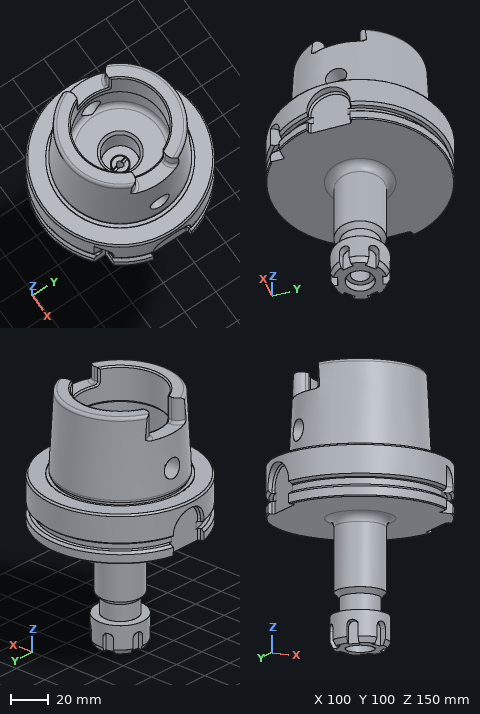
import cadquery as cq
import math

total_height = 150.0
flange_top = 100.0
flange_bottom = 71.0
stem_bottom = 30.5
nut_top = 17.5

shank_base_radius = 37.8
shank_tip_radius = 35.4
shank_base_band = 1.2
undercut_radius = 36.9
tip_round = 2.0
relief_radius = 39.5
relief_depth = 0.6

drive_slot_half_width = 10.2
drive_slot_flare = 5.0
drive_slot_face = 32.2
deep_slot_floor = 135.0
shallow_slot_floor = 140.0
slot_floor_round = 1.8

cavity_radius = 26.4
undercut_cavity_radius = 27.8
undercut_cavity_top = 129.6
cavity_floor = 108.8
cavity_floor_round = 3.0
mouth_chamfer = 0.9
port_radius = 12.2
port_chamfer = 1.6
port_depth = 18.0
cross_hole_radius = 6.0
cross_hole_height = 115.0

flange_radius = 50.02
flange_edge = 1.0
flange_lower_edge = 0.6
groove_radius = 46.0
groove_lip_radius = 48.3
groove_middle = 80.0
groove_half_height = 2.1
groove_lip_height = 1.4

keyway_half_width = 12.2
keyway_arch_height = 83.8
keyway_floor = 45.0
keyway_floor_chamfer = 1.0
notch_floor = 31.5
notch_wall = 31.2
notch_radius = 9.5
notch_arch_height = 85.5

stem_radius = 14.0
stem_fillet = 5.0
neck_radius = 11.1

nut_radius = 16.0
nut_chamfer_height = 3.2
nut_chamfer_width = 1.6
nut_lip = 4.5
nut_opening_radius = 8.0
wrench_slots = 6
wrench_slot_angle = 48.0
wrench_slot_width = 6.2
wrench_slot_top = 12.3
wrench_slot_floor = 12.0

screw_radius = 5.2
screw_length = 18.0
screw_chamfer = 0.6
screw_bore_radius = 2.0
screw_slot_width = 1.8
screw_slot_depth = 1.8
screw_slot_turn = 13.0

port_floor = cavity_floor - port_depth
selection_margin = 0.2


def cylinder(radius, bottom, top):
    return cq.Workplane("XY").workplane(offset=bottom).circle(radius).extrude(top - bottom)


def revolved(points):
    """Turn an (r, z) outline about the Z axis."""
    return cq.Workplane("XZ").polyline(points).close().revolve(360, (0, 0), (0, 1))


def holder_body():
    """Outer turned shape: neck, stem, grooved flange and shank."""
    lip_bottom = groove_middle - groove_half_height
    lip_top = groove_middle + groove_half_height
    chamfer_height = stem_radius - neck_radius
    body = (
        cq.Workplane("XZ")
        .moveTo(0, nut_lip)
        .lineTo(neck_radius, nut_lip)
        .lineTo(neck_radius, stem_bottom - chamfer_height)
        .lineTo(stem_radius, stem_bottom)
        .lineTo(stem_radius, flange_bottom - stem_fillet)
        .radiusArc((stem_radius + stem_fillet, flange_bottom), stem_fillet)
        .lineTo(flange_radius - flange_lower_edge, flange_bottom)
        .lineTo(flange_radius, flange_bottom + flange_lower_edge)
        .lineTo(flange_radius, lip_bottom - groove_lip_height)
        .lineTo(groove_lip_radius, lip_bottom)
        .lineTo(groove_radius, lip_bottom)
        .lineTo(groove_radius, lip_top)
        .lineTo(groove_lip_radius, lip_top)
        .lineTo(flange_radius, lip_top + groove_lip_height)
        .lineTo(flange_radius, flange_top - flange_edge)
        .lineTo(flange_radius - flange_edge, flange_top)
        .lineTo(relief_radius, flange_top)
        .lineTo(relief_radius, flange_top - relief_depth)
        .lineTo(undercut_radius, flange_top - relief_depth)
        .lineTo(undercut_radius, flange_top + shank_base_band)
        .lineTo(shank_base_radius, flange_top + shank_base_band)
        .lineTo(shank_base_radius, flange_top + 2 * shank_base_band)
        .lineTo(shank_tip_radius, total_height)
        .lineTo(0, total_height)
        .close()
        .revolve(360, (0, 0), (0, 1))
    )
    return body.faces(">Z").edges().fillet(tip_round)


def holder_bore():
    """Shank cavity, coolant port and the bore for the stop screw."""
    port_inner = port_radius - port_chamfer
    shoulder = undercut_cavity_radius - cavity_radius
    round_top = cavity_floor + cavity_floor_round
    return (
        cq.Workplane("XZ")
        .moveTo(0, nut_lip)
        .lineTo(screw_radius, nut_lip)
        .lineTo(screw_radius, port_floor)
        .lineTo(port_inner, port_floor)
        .lineTo(port_inner, cavity_floor - port_chamfer)
        .lineTo(port_radius, cavity_floor)
        .lineTo(undercut_cavity_radius - cavity_floor_round, cavity_floor)
        .radiusArc((undercut_cavity_radius, round_top), -cavity_floor_round)
        .lineTo(undercut_cavity_radius, undercut_cavity_top - shoulder)
        .lineTo(cavity_radius, undercut_cavity_top)
        .lineTo(cavity_radius, total_height)
        .lineTo(0, total_height)
        .close()
        .revolve(360, (0, 0), (0, 1))
    )


def drive_slot(side, floor):
    """Slot through one side of the shank tip, flared outward and rounded at its floor."""
    flare_start = drive_slot_face - drive_slot_flare
    flare_end = drive_slot_half_width + drive_slot_flare
    far = shank_base_radius + drive_slot_flare
    bend = drive_slot_flare * math.sqrt(0.5)
    bend_x = side * (flare_start + bend)
    bend_y = flare_end - bend
    cutter = (
        cq.Workplane("XY")
        .workplane(offset=floor)
        .moveTo(0, -drive_slot_half_width)
        .lineTo(side * flare_start, -drive_slot_half_width)
        .threePointArc((bend_x, -bend_y), (side * drive_slot_face, -flare_end))
        .lineTo(side * drive_slot_face, -far)
        .lineTo(side * far, -far)
        .lineTo(side * far, far)
        .lineTo(side * drive_slot_face, far)
        .lineTo(side * drive_slot_face, flare_end)
        .threePointArc((bend_x, bend_y), (side * flare_start, drive_slot_half_width))
        .lineTo(0, drive_slot_half_width)
        .close()
        .extrude(total_height - floor)
    )
    return cutter.faces("<Z").edges().fillet(slot_floor_round)


def keyway(side):
    """Arch-topped keyway in the flange rim with a chamfer around its flat floor."""
    arch_top = keyway_arch_height + keyway_half_width
    cutter = (
        cq.Workplane("YZ")
        .workplane(offset=keyway_floor)
        .moveTo(-keyway_half_width, flange_bottom)
        .lineTo(-keyway_half_width, keyway_arch_height)
        .threePointArc((0, arch_top), (keyway_half_width, keyway_arch_height))
        .lineTo(keyway_half_width, flange_bottom)
        .close()
        .extrude(flange_radius - keyway_floor)
    )
    cutter = cutter.faces("<X").edges("not <Z").chamfer(keyway_floor_chamfer)
    return cutter if side > 0 else cutter.mirror("YZ")


def side_notch():
    """Round-topped notch in the -Y, +X part of the flange rim."""
    arch_y = -notch_wall - notch_radius
    arch_top = notch_arch_height + notch_radius
    return (
        cq.Workplane("YZ")
        .workplane(offset=notch_floor)
        .moveTo(-notch_wall, flange_bottom)
        .lineTo(-notch_wall, notch_arch_height)
        .threePointArc((arch_y, arch_top), (arch_y - notch_radius, notch_arch_height))
        .lineTo(arch_y - notch_radius, flange_bottom)
        .close()
        .extrude(flange_radius - notch_floor)
    )


def make_holder():
    """Holder with its cavity, drive slots, cross hole, keyways and notch."""
    cross_hole = (
        cq.Workplane("YZ")
        .center(0, cross_hole_height)
        .circle(cross_hole_radius)
        .extrude(shank_base_radius, both=True)
    )
    shank = (
        holder_body()
        .cut(holder_bore())
        .cut(drive_slot(-1, deep_slot_floor))
        .cut(drive_slot(1, shallow_slot_floor))
    )
    reach = cavity_radius + selection_margin
    mouth = cq.selectors.BoxSelector(
        (-reach, -reach, deep_slot_floor - selection_margin),
        (reach, reach, total_height + selection_margin),
        boundingbox=True,
    )
    shank = shank.edges(mouth).chamfer(mouth_chamfer)
    return (
        shank
        .cut(cross_hole)
        .cut(keyway(-1))
        .cut(keyway(1))
        .cut(side_notch())
    )


def make_nut():
    """Clamping nut around the neck, with wrench slots open at its lower face."""
    nut = revolved([
        (nut_opening_radius, 0),
        (nut_radius - nut_chamfer_width, 0),
        (nut_radius, nut_chamfer_height),
        (nut_radius, nut_top),
        (neck_radius, nut_top),
        (neck_radius, nut_lip),
        (nut_opening_radius, nut_lip),
    ])
    half_width = wrench_slot_width / 2
    wrench_slot = (
        cq.Workplane("YZ")
        .workplane(offset=wrench_slot_floor)
        .moveTo(-half_width, 0)
        .lineTo(-half_width, wrench_slot_top - half_width)
        .threePointArc((0, wrench_slot_top), (half_width, wrench_slot_top - half_width))
        .lineTo(half_width, 0)
        .close()
        .extrude(nut_radius - wrench_slot_floor)
    )
    for i in range(wrench_slots):
        angle = wrench_slot_angle + i * 360 / wrench_slots
        nut = nut.cut(wrench_slot.rotate((0, 0, 0), (0, 0, 1), angle))
    return nut


def make_stop_screw():
    """Bored stop screw with a driver slot, flush with the port floor."""
    screw_bottom = port_floor - screw_length
    screw = cylinder(screw_radius, screw_bottom, port_floor)
    screw = screw.faces(">Z").edges().chamfer(screw_chamfer)
    screw = screw.cut(cylinder(screw_bore_radius, screw_bottom, port_floor))
    driver_slot = (
        cq.Workplane("XY")
        .workplane(offset=port_floor - screw_slot_depth)
        .rect(screw_slot_width, 2 * screw_radius)
        .extrude(screw_slot_depth)
        .rotate((0, 0, 0), (0, 0, 1), screw_slot_turn)
    )
    return screw.cut(driver_slot)


holder = make_holder()
nut = make_nut()
stop_screw = make_stop_screw()

result = cq.Compound.makeCompound([holder.val(), nut.val(), stop_screw.val()])